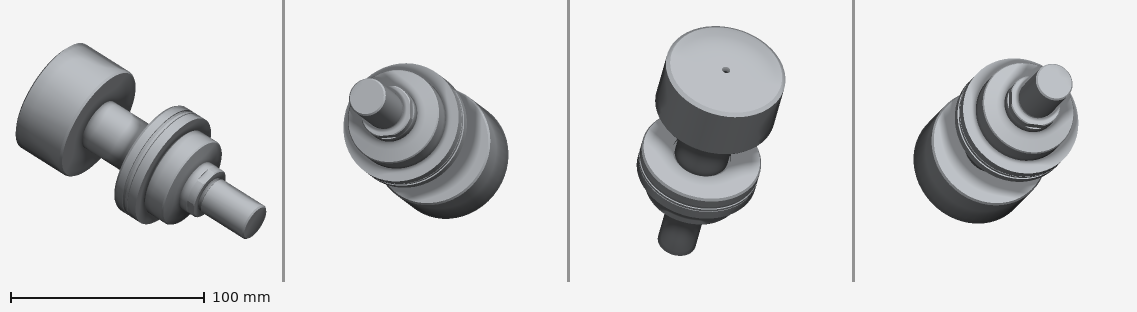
import cadquery as cq
import math

overall_length = 134.0
head_end = 31.2
guide_start = 65.5
seal_groove_start = 71.3
seal_groove_end = 73.2
guide_end = 74.5
flange_end = 80.1
nose_shoulder = 92.9
nose_end = 95.0
flats_start = 99.7
rod_end = 104.1
stud_start = 106.3

head_radius = 31.5
flange_radius = head_radius
rod_radius = 14.1
nose_radius = 24.9
nose_shoulder_radius = 24.4
stud_radius = 10.0
relief_radius = 9.1
wrench_flat_distance = 13.1

head_front_chamfer_length = 1.3
head_front_chamfer_depth = 2.0
head_back_chamfer_length = 1.2
edge_chamfer_depth = 0.8
guide_chamfer_length = 1.3
seal_groove_depth = 0.7
gland_chamfer = 0.4
nose_undercut = 1.1
nose_edge_length = 0.8
rod_lead_length = 0.8
rod_lead_depth = 0.1
rod_end_chamfer = 0.5
relief_taper = 0.5
stud_chamfer = 0.8

centre_hole_radius = 1.1
centre_hole_depth = 4.0
countersink_radius = 2.1
countersink_depth = (countersink_radius - centre_hole_radius) / math.tan(math.radians(30))
recess_radius = 15.4
recess_depth = 1.3


def revolve_about_x(profile):
    """Revolve an (axial position, radius) outline about the X axis."""
    return cq.Workplane("XY").polyline(profile).close().revolve(360, (0, 0, 0), (1, 0, 0))


def make_rod():
    """Head, rod and end stud turned as one piece."""
    rod = revolve_about_x([
        (0, 0),
        (0, head_radius - head_front_chamfer_depth),
        (head_front_chamfer_length, head_radius),
        (head_end - head_back_chamfer_length, head_radius),
        (head_end, head_radius - edge_chamfer_depth),
        (head_end, rod_radius),
        (flats_start - rod_lead_length, rod_radius),
        (flats_start, rod_radius - rod_lead_depth),
        (rod_end - rod_end_chamfer, rod_radius - rod_lead_depth),
        (rod_end, rod_radius - rod_lead_depth - rod_end_chamfer),
        (rod_end, relief_radius + relief_taper),
        (rod_end + relief_taper, relief_radius),
        (stud_start - relief_taper, relief_radius),
        (stud_start, stud_radius),
        (overall_length - stud_chamfer, stud_radius),
        (overall_length, stud_radius - stud_chamfer),
        (overall_length, 0),
    ])
    return rod.cut(make_centre_hole()).intersect(make_wrench_envelope()).solids()


def make_centre_hole():
    """Countersunk centre hole in the head face."""
    return revolve_about_x([
        (0, 0),
        (0, countersink_radius),
        (countersink_depth, centre_hole_radius),
        (centre_hole_depth, centre_hole_radius),
        (centre_hole_depth, 0),
    ])


def make_wrench_envelope():
    """Space kept by the four flats: a square bar beyond a full-size cylinder."""
    square_side = 2 * wrench_flat_distance
    behind_flats = cq.Workplane("YZ").circle(head_radius).extrude(flats_start)
    square_bar = (
        cq.Workplane("YZ", origin=(flats_start, 0, 0))
        .rect(square_side, square_side)
        .extrude(overall_length - flats_start)
    )
    return behind_flats.union(square_bar)


def make_guide_ring():
    """Chamfered ring with a seal groove and a clearance recess round the rod."""
    groove_radius = flange_radius - seal_groove_depth
    return revolve_about_x([
        (guide_start, recess_radius),
        (guide_start, flange_radius - edge_chamfer_depth),
        (guide_start + guide_chamfer_length, flange_radius),
        (seal_groove_start, flange_radius),
        (seal_groove_start, groove_radius),
        (seal_groove_end, groove_radius),
        (seal_groove_end, flange_radius),
        (guide_end, flange_radius),
        (guide_end, rod_radius),
        (guide_start + recess_depth, rod_radius),
        (guide_start + recess_depth, recess_radius),
    ])


def make_gland():
    """Flange with an undercut nose that tapers down to the rod."""
    return revolve_about_x([
        (guide_end, rod_radius),
        (guide_end, flange_radius - gland_chamfer),
        (guide_end + gland_chamfer, flange_radius),
        (flange_end, flange_radius),
        (flange_end, nose_radius - nose_undercut),
        (flange_end + nose_undercut, nose_radius),
        (nose_shoulder - nose_edge_length, nose_radius),
        (nose_shoulder, nose_shoulder_radius),
        (nose_end, rod_radius),
    ])


rod = make_rod()
guide_ring = make_guide_ring()
gland = make_gland()

result = cq.Compound.makeCompound([rod.val(), guide_ring.val(), gland.val()])